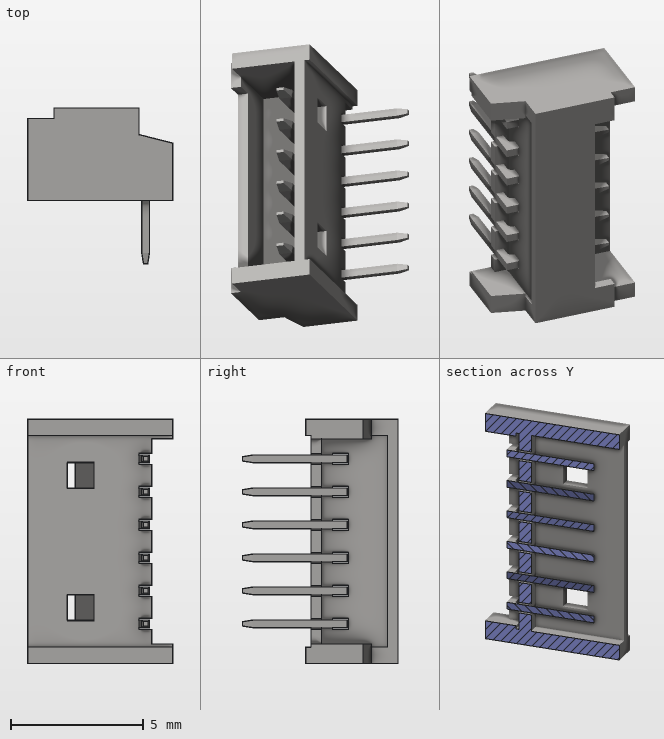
import cadquery as cq


length = 9.25
ear_end_x = 5.5
depth = 3.51
end_plate = 0.62
inner_half = length / 2 - end_plate

front_face_y = 0.2
front_wall = 0.4
back_wall = 0.4
cavity_front_y = front_face_y + front_wall
cavity_back_y = depth - back_wall
floor_inner_x = 3.61
floor_outer_x = 4.13
lip_end_x = 4.71

back_step_x = 1.0
back_end_x = 4.23
back_wall_x = 1.8
corner_piece = 1.01

ear_thickness = 0.75
ear_root_y = 2.5
ear_tip_y = 2.17

window_size = 1.0
window_x = 2.01
window_z = 2.51

pin_count = 6
pitch = 1.25
pin_thickness = 0.3
blade_width = 0.52
blade_y = 1.32
blade_start_x = 0.4
blade_taper = 0.65
blade_tip_width = 0.29
blade_tip_thickness = 0.1
leg_x = 4.47
leg_end_y = -2.4
leg_taper = 0.4
leg_tip = 0.17
bend_radius = 0.19
pin_slot = 0.42
blade_hole = 0.59
slot_start_x = 4.22

blade_front_y = blade_y - blade_width / 2
blade_back_y = blade_y + blade_width / 2
leg_near_x = leg_x - pin_thickness / 2
leg_far_x = leg_x + pin_thickness / 2

pin_heights = [(i - (pin_count - 1) / 2) * pitch for i in range(pin_count)]


def box(x0, x1, y0, y1, z0, z1):
    """Box between pairs of opposite faces."""
    return cq.Workplane("XY").box(x1 - x0, y1 - y0, z1 - z0, centered=False).translate((x0, y0, z0))


def both_ends(upper):
    """An upper-end feature together with its mirror image at the lower end."""
    return upper.union(upper.mirror("XY"))


def make_end_plates():
    outline = [
        (0, 0),
        (ear_end_x, 0),
        (ear_end_x, ear_tip_y),
        (back_end_x, ear_root_y),
        (back_end_x, depth),
        (back_step_x, depth),
        (back_step_x, cavity_back_y),
        (0, cavity_back_y),
    ]
    plate = cq.Workplane("XY").workplane(offset=inner_half).polyline(outline).close().extrude(end_plate)
    return both_ends(plate)


def make_ears():
    outline = [
        (back_end_x, front_face_y),
        (ear_end_x, front_face_y),
        (ear_end_x, ear_tip_y),
        (back_end_x, ear_root_y),
    ]
    inner_z = length / 2 - ear_thickness
    ear = cq.Workplane("XY").workplane(offset=inner_z).polyline(outline).close().extrude(ear_thickness)
    return both_ends(ear)


def make_walls():
    front = box(0, lip_end_x, front_face_y, cavity_front_y, -inner_half, inner_half)
    back = box(back_wall_x, back_end_x, cavity_back_y, depth, -inner_half, inner_half)
    floor = box(floor_inner_x, floor_outer_x, front_face_y, depth, -inner_half, inner_half)
    corner_z = length / 2 - corner_piece
    corners = both_ends(box(back_step_x, back_end_x, cavity_back_y, depth, corner_z, inner_half))
    return front.union(back).union(floor).union(corners)


def make_windows():
    half = window_size / 2
    return both_ends(
        box(window_x - half, window_x + half, front_face_y, cavity_front_y, window_z - half, window_z + half)
    )


def make_pin_opening(z):
    """Hole through the floor for the blade and slot in the lip for the leg."""
    z0 = z - pin_slot / 2
    z1 = z + pin_slot / 2
    y0 = blade_y - blade_hole / 2
    y1 = blade_y + blade_hole / 2
    hole = box(floor_inner_x, floor_outer_x, y0, y1, z0, z1)
    slot = box(slot_start_x, lip_end_x, front_face_y, cavity_front_y, z0, z1)
    return hole.union(slot)


def make_housing():
    housing = make_end_plates().union(make_ears()).union(make_walls()).cut(make_windows())
    for z in pin_heights:
        housing = housing.cut(make_pin_opening(z))
    return housing


def make_pin(z):
    """Flat blade with a tapered tip, turning into a square leg with a tapered end."""
    taper_end_x = blade_start_x + blade_taper
    taper_end_y = leg_end_y + leg_taper
    profile = (
        cq.Workplane("XY")
        .moveTo(taper_end_x, blade_front_y)
        .lineTo(leg_near_x - bend_radius, blade_front_y)
        .radiusArc((leg_near_x, blade_front_y - bend_radius), bend_radius)
        .lineTo(leg_near_x, taper_end_y)
        .lineTo(leg_far_x, taper_end_y)
        .lineTo(leg_far_x, blade_back_y)
        .lineTo(taper_end_x, blade_back_y)
        .close()
    )
    shaft = profile.extrude(pin_thickness / 2, both=True)
    blade_tip = (
        cq.Workplane("YZ", origin=(taper_end_x, blade_y, 0))
        .rect(blade_width, pin_thickness)
        .workplane(offset=-blade_taper)
        .rect(blade_tip_width, blade_tip_thickness)
        .loft()
    )
    leg_end = (
        cq.Workplane("XZ", origin=(leg_x, taper_end_y, 0))
        .rect(pin_thickness, pin_thickness)
        .workplane(offset=leg_taper)
        .rect(leg_tip, leg_tip)
        .loft()
    )
    return shaft.union(blade_tip).union(leg_end).translate((0, 0, z))


housing = make_housing()
pins = [make_pin(z) for z in pin_heights]

result = cq.Compound.makeCompound([housing.val(), *[pin.val() for pin in pins]])